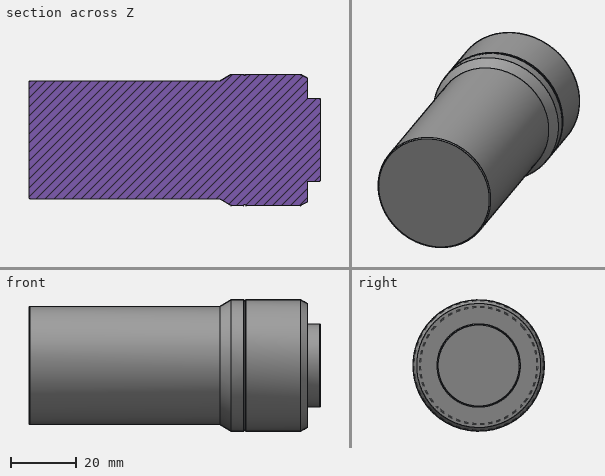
import cadquery as cq

total_length = 88.7
body_diameter = 36.0
head_diameter = 40.0
spigot_diameter = 25.4

body_length = 58.1
body_chamfer = 0.35
shoulder_length = 3.4
front_band_length = 3.8
groove_width = 0.7
groove_depth = 0.35
spigot_length = 4.0
spigot_chamfer = 0.35
head_chamfer_length = 2.1
head_chamfer_depth = 1.15

body_start = -total_length / 2
shoulder_start = body_start + body_length
head_start = shoulder_start + shoulder_length
groove_start = head_start + front_band_length
groove_middle = groove_start + groove_width / 2
groove_end = groove_start + groove_width
spigot_end = total_length / 2
head_end = spigot_end - spigot_length

body_radius = body_diameter / 2
head_radius = head_diameter / 2
groove_radius = head_radius - groove_depth
spigot_radius = spigot_diameter / 2

half_profile = (
    cq.Workplane("XY")
    .moveTo(body_start, 0)
    .lineTo(body_start, body_radius - body_chamfer)
    .lineTo(body_start + body_chamfer, body_radius)
    .lineTo(shoulder_start, body_radius)
    .lineTo(head_start, head_radius)
    .lineTo(groove_start, head_radius)
    .lineTo(groove_middle, groove_radius)
    .lineTo(groove_end, head_radius)
    .lineTo(head_end - head_chamfer_length, head_radius)
    .lineTo(head_end, head_radius - head_chamfer_depth)
    .lineTo(head_end, spigot_radius)
    .lineTo(spigot_end - spigot_chamfer, spigot_radius)
    .lineTo(spigot_end, spigot_radius - spigot_chamfer)
    .lineTo(spigot_end, 0)
    .close()
)

result = half_profile.revolve(360, (0, 0, 0), (1, 0, 0))